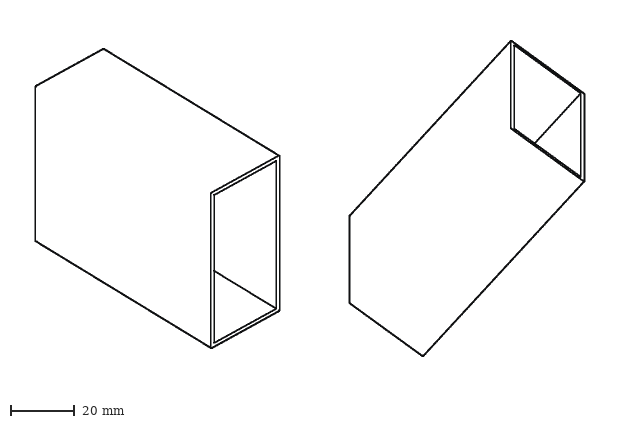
import cadquery as cq

length = 80.0
width = 30.0
height = 60.0
wall = 1.5
corner_radius = 0.6

outer = cq.Workplane("XY").box(length, width, height).edges("|X").fillet(corner_radius)

opening = cq.Workplane("XY").box(length, width - 2 * wall, height - 2 * wall)

result = outer.cut(opening)